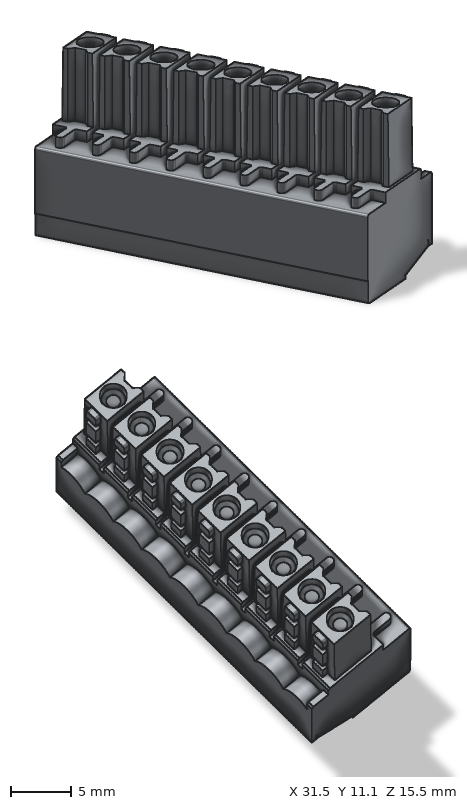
import cadquery as cq
import math


length = 31.5
depth = 11.1
height = 15.5
deck_z = 8.0
front_edge_radius = 0.22

foot_height = 2.05
foot_setback = 0.05

slope_front_y = 6.52
slope_front_z = 0.3
slope_rear_y = 10.35
rear_lip_z = 1.55
slit_y = 10.45
slit_width = 0.1

pole_count = 9
pole_pitch = 3.5
end_pole_x = pole_pitch * (pole_count - 1) / 2

pad_width = 2.95
pad_top_z = 8.95
pad_front_y = 3.05
pad_rear_y = 9.23
pad_chamfer = 0.2
tongue_width = 0.75
tongue_tip_y = 0.75
tongue_root_radius = 0.22

post_top_width = 2.77
post_front_y = 4.15
post_rear_y = 8.25
notch_mouth_width = 1.85
notch_floor_width = 1.0
notch_depth = 0.47

recess_y = 6.3
recess_top_radius = 1.13
recess_wall_radius = 1.0
recess_floor_radius = 0.6
recess_wall_depth = 0.75
recess_depth = 1.05

rib_width = 1.2
rib_rear_y = 8.82
rib_edge_radius = 0.22
lower_rib = (pad_top_z, 10.17)
middle_rib = (11.0, 13.15)
upper_rib = (14.08, 15.3)

end_wall = 0.6
end_wall_chamfer = 0.2
arch_radius = 2.08
arch_crest_z = 7.28
arch_valley_z = arch_crest_z - arch_radius + math.sqrt(arch_radius**2 - (pole_pitch / 2) ** 2)

pole_positions = [i * pole_pitch - end_pole_x for i in range(pole_count)]


def box(x_range, y_range, z_range):
    """Axis-aligned box between the given limits."""
    lower, upper = zip(x_range, y_range, z_range)
    sizes = [high - low for low, high in zip(lower, upper)]
    return cq.Workplane("XY").box(*sizes, centered=False).translate(lower)


def span(width):
    """Limits of a width centred on zero."""
    return (-width / 2, width / 2)


def make_body():
    side_outline = [
        (foot_setback, 0),
        (slope_front_y, 0),
        (slope_front_y, slope_front_z),
        (slope_rear_y, rear_lip_z),
        (depth, rear_lip_z),
        (depth, deck_z),
        (0, deck_z),
        (0, foot_height),
        (foot_setback, foot_height),
    ]
    body = cq.Workplane("YZ").polyline(side_outline).close().extrude(length / 2, both=True)
    body = body.edges("|X and <Y and >Z").fillet(front_edge_radius)
    body = body.edges("|X").edges("<Z").edges("<Y").fillet(front_edge_radius)
    body = body.edges("|X and >Y and >Z").chamfer(end_wall_chamfer)
    slit = box(span(length), (slit_y, slit_y + slit_width), (rear_lip_z, foot_height))
    return body.cut(slit)


def make_rear_recess():
    """Space above the arches, between the two end walls."""
    recess = box(span(length - 2 * end_wall), (pad_rear_y, depth), (arch_valley_z, deck_z))
    arch = (
        cq.Workplane("XZ", origin=(0, depth, arch_crest_z - arch_radius))
        .circle(arch_radius)
        .extrude(depth - pad_rear_y)
    )
    for x in pole_positions:
        recess = recess.cut(arch.translate((x, 0, 0)))
    return recess


def make_pad(left_x, right_x):
    """Pad with a round-ended tongue at the pole centre, X = 0."""
    half_tongue = tongue_width / 2
    root_x = half_tongue + tongue_root_radius
    root_y = pad_front_y - tongue_root_radius
    tip_y = tongue_tip_y + half_tongue
    pad = (
        cq.Workplane("XY", origin=(0, 0, deck_z))
        .moveTo(left_x, pad_rear_y)
        .lineTo(left_x, pad_front_y)
        .lineTo(-root_x, pad_front_y)
        .radiusArc((-half_tongue, root_y), tongue_root_radius)
        .lineTo(-half_tongue, tip_y)
        .threePointArc((0, tongue_tip_y), (half_tongue, tip_y))
        .lineTo(half_tongue, root_y)
        .radiusArc((root_x, pad_front_y), tongue_root_radius)
        .lineTo(right_x, pad_front_y)
        .lineTo(right_x, pad_rear_y)
        .close()
        .extrude(pad_top_z - deck_z)
    )
    return pad.edges(">Y and >Z").chamfer(pad_chamfer)


def make_screw_recess():
    """Slightly drafted bore ending in a cone with a flat floor."""
    half_section = [
        (0, 0),
        (recess_top_radius, 0),
        (recess_wall_radius, -recess_wall_depth),
        (recess_floor_radius, -recess_depth),
        (0, -recess_depth),
    ]
    cutter = cq.Workplane("YZ").polyline(half_section).close().revolve(360, (0, 0, 0), (0, 1, 0))
    return cutter.translate((0, recess_y, height))


def make_post():
    front_outline = [
        (-pad_width / 2, pad_top_z),
        (pad_width / 2, pad_top_z),
        (post_top_width / 2, height),
        (-post_top_width / 2, height),
    ]
    post = (
        cq.Workplane("XZ", origin=(0, post_rear_y, 0))
        .polyline(front_outline)
        .close()
        .extrude(post_rear_y - post_front_y)
    )
    notch_outline = [
        (-notch_mouth_width / 2, post_front_y),
        (-notch_floor_width / 2, post_front_y + notch_depth),
        (notch_floor_width / 2, post_front_y + notch_depth),
        (notch_mouth_width / 2, post_front_y),
    ]
    notch = (
        cq.Workplane("XY", origin=(0, 0, pad_top_z))
        .polyline(notch_outline)
        .close()
        .extrude(height - pad_top_z)
    )
    return post.cut(notch).cut(make_screw_recess())


def make_ribs():
    rib_y = (post_rear_y, rib_rear_y)
    upper = box(span(rib_width), rib_y, upper_rib).edges("|Y and >Z").fillet(rib_edge_radius)
    middle = box(span(rib_width), rib_y, middle_rib)
    lower = box(span(rib_width), rib_y, lower_rib)
    return [upper, middle, lower]


result = make_body().cut(make_rear_recess())

post = make_post()
ribs = make_ribs()
for index, x in enumerate(pole_positions):
    left_x = -length / 2 - x if index == 0 else -pad_width / 2
    right_x = length / 2 - x if index == pole_count - 1 else pad_width / 2
    for piece in [make_pad(left_x, right_x), post, *ribs]:
        result = result.union(piece.translate((x, 0, 0)))